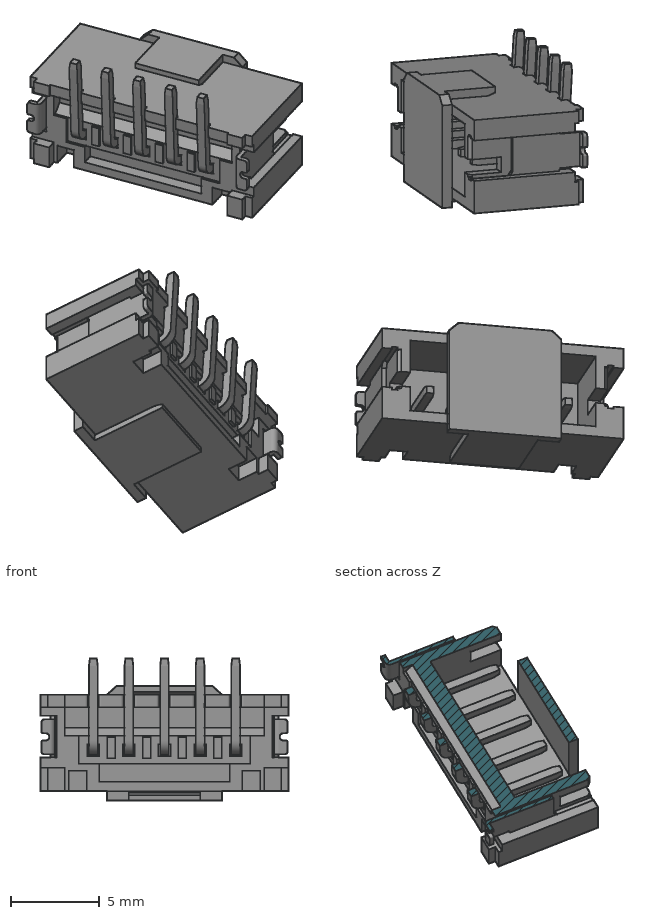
import cadquery as cq
import math


PIN_COUNT = 5
PIN_PITCH = 2.0
PIN_SIZE = 0.5
PIN_BOTTOM = 2.05
PIN_INNER_RADIUS = 0.27
PIN_LEAN = math.radians(3.0)
PIN_TIP_LENGTH = 0.4
PIN_TIP_SIZE = 0.4
PIN_TOP = 7.455
PIN_FRONT = -7.38
PIN_CONTACT_END = -1.45
PIN_XS = [(i - (PIN_COUNT - 1) / 2) * PIN_PITCH for i in range(PIN_COUNT)]

CAP_THICKNESS = 0.58
CAP_WIDTH = 6.47
CAP_RISE = 0.49
CAP_DROP = 0.535
CAP_CORNER = 0.54
CLIP_WIDTH = 4.0
TOP_CLIP_FRONT = -3.6
TOP_CLIP_BEVEL = (0.43, 0.17)
BOTTOM_CLIP_FRONT = -5.11
BOTTOM_CLIP_BEVEL = (0.49, 0.16)
BOTTOM_CLIP_GAP = 0.08

BODY_WIDTH = 13.95
BODY_HEIGHT = 5.42
BODY_BACK = -CAP_THICKNESS
FRONT_FACE = -6.6
STRIP_FRONT = -7.08
SHOULDER_FRONT = -6.82
FOOT_FRONT = -7.22
FOOT_INNER_X = 5.6
FOOT_OUTER_X = 6.56
LOWER_FOOT_HEIGHT = 1.32
TOP_STRIP_HEIGHT = 0.7
STRIP_BOTTOM = BODY_HEIGHT - TOP_STRIP_HEIGHT

WALL_THICKNESS = 0.72
CAVITY_FLOOR_THICKNESS = 0.6
CAVITY_END = -5.0

RECESS_FLOOR_X = 6.08
RECESS_BOTTOM = 1.89
RECESS_TOP = 4.23
MOUTH_CHAMFER = 0.19
SLOT_END = -2.5
SLOT_BOTTOM = 2.02
SLOT_TOP = 2.9

PANEL_WIDTH = 9.63
PANEL_DEPTH = 0.15
PANEL_BOTTOM = 1.55
WINDOW_WIDTH = 2 * FOOT_INNER_X
WINDOW_DEPTH = 0.7
WINDOW_BOTTOM = 3.12
WINDOW_SLOPE_HEIGHT = 0.45
LOWER_POCKET_WIDTH = 7.34
LOWER_POCKET_BOTTOM = 0.54
CORNER_NOTCH_INNER_X = 4.36
CORNER_NOTCH_WIDTH = 1.03
CORNER_NOTCH_HEIGHT = 1.15
CORNER_NOTCH_DEPTH = 1.2
RIB_WIDTH = 0.46
RIB_BOTTOM = 1.85
RIB_TOP = 3.04
PIN_HOLE_SIZE = 0.68
PIN_HOLE_DEPTH = 0.4
PIN_NOTCH_WIDTH = 0.6
PIN_NOTCH_BACK = -6.72
PIN_NOTCH_FILLET = 0.16
PLAIN_NOTCH_INDEX = 3
PLAIN_NOTCH_CHAMFER = 0.1

GROOVE_DEPTH = 0.12
PLATE_BOTTOM = RECESS_BOTTOM - GROOVE_DEPTH
PLATE_TOP = RECESS_TOP + GROOVE_DEPTH
PLATE_THICKNESS = 0.27
PLATE_OUTER_X = 6.41
PLATE_INNER_X = PLATE_OUTER_X - PLATE_THICKNESS
PLATE_BACK = -3.08
PLATE_BACK_CORNER = (0.23, 0.35)
PLATE_NARROW_Y = -5.92
PLATE_NARROW_CHAMFER = 0.17
PLATE_STEP_Y = PLATE_NARROW_Y + PLATE_NARROW_CHAMFER
PLATE_FRONT = -7.35
TAB_BOTTOM = 2.06
TAB_TOP = 4.04
TAB_MIDDLE = (TAB_BOTTOM + TAB_TOP) / 2
TAB_END_X = 6.92
TAB_BEND_RADIUS = 0.3
TAB_CORNER_RADIUS = 0.18
TAB_NOTCH_WIDTH = 0.4
TAB_NOTCH_END_X = 6.48
TAB_NOTCH_ROUND = 0.1


def box(x_range, y_range, z_range):
    """Axis-aligned box between the given limits."""
    (x0, x1), (y0, y1), (z0, z1) = x_range, y_range, z_range
    return cq.Workplane("XY").box(x1 - x0, y1 - y0, z1 - z0, centered=False).translate((x0, y0, z0))


def centred_box(width, y_range, z_range, x=0.0):
    """Box of the given width centred at x."""
    return box((x - width / 2, x + width / 2), y_range, z_range)


def yz_prism(points, width):
    """Extrude a closed (y, z) outline symmetrically along X."""
    return cq.Workplane("YZ").polyline(points).close().extrude(width / 2, both=True)


def both_sides(half):
    """Join a feature with its mirror image in the YZ plane."""
    return half.union(half.mirror("YZ"))


def housing_block():
    """Main block with the front strip, the shoulders and the four corner feet."""
    body = centred_box(BODY_WIDTH, (FRONT_FACE, BODY_BACK), (0, BODY_HEIGHT))
    top_levels = (STRIP_BOTTOM, BODY_HEIGHT)
    body = body.union(centred_box(2 * FOOT_INNER_X, (STRIP_FRONT, FRONT_FACE), top_levels))
    for levels in (top_levels, (0, LOWER_FOOT_HEIGHT)):
        foot = box((FOOT_INNER_X, FOOT_OUTER_X), (FOOT_FRONT, FRONT_FACE), levels)
        shoulder = box((FOOT_INNER_X, BODY_WIDTH / 2), (SHOULDER_FRONT, FRONT_FACE), levels)
        body = body.union(both_sides(foot.union(shoulder)))
    return body


def cut_side_recesses(body):
    """Side recesses with their plate grooves and the slots into the plug cavity."""
    half_width = BODY_WIDTH / 2
    floor_corner_x = RECESS_FLOOR_X - MOUTH_CHAMFER
    recess = (
        cq.Workplane("XY", origin=(0, 0, RECESS_BOTTOM))
        .moveTo(half_width, BODY_BACK)
        .lineTo(floor_corner_x, BODY_BACK)
        .lineTo(RECESS_FLOOR_X, BODY_BACK - MOUTH_CHAMFER)
        .lineTo(RECESS_FLOOR_X, FRONT_FACE)
        .lineTo(half_width, FRONT_FACE)
        .close()
        .extrude(RECESS_TOP - RECESS_BOTTOM)
    )
    slot = box((0, half_width), (SLOT_END, BODY_BACK), (SLOT_BOTTOM, SLOT_TOP))
    groove = box((RECESS_FLOOR_X, PLATE_OUTER_X), (PLATE_STEP_Y, BODY_BACK), (PLATE_BOTTOM, PLATE_TOP))
    return body.cut(both_sides(recess.union(groove))).cut(both_sides(slot))


def cut_plug_cavity(body):
    """Rectangular plug space behind the cap."""
    cavity_width = 2 * (RECESS_FLOOR_X - WALL_THICKNESS)
    levels = (CAVITY_FLOOR_THICKNESS, BODY_HEIGHT - CAVITY_FLOOR_THICKNESS)
    return body.cut(centred_box(cavity_width, (CAVITY_END, BODY_BACK), levels))


def cut_front_pockets(body):
    """Shallow ribbed panel, sloped window, lower pocket and corner notches."""
    panel_back = FRONT_FACE + PANEL_DEPTH
    pocket_back = FRONT_FACE + WINDOW_DEPTH
    panel = centred_box(PANEL_WIDTH, (FRONT_FACE, panel_back), (PANEL_BOTTOM, WINDOW_BOTTOM))
    for left, right in zip(PIN_XS, PIN_XS[1:]):
        rib_x = (left + right) / 2
        panel = panel.cut(centred_box(RIB_WIDTH, (FRONT_FACE, panel_back), (RIB_BOTTOM, RIB_TOP), rib_x))
    window = yz_prism(
        [
            (FRONT_FACE, WINDOW_BOTTOM),
            (panel_back, WINDOW_BOTTOM),
            (pocket_back, WINDOW_BOTTOM + WINDOW_SLOPE_HEIGHT),
            (pocket_back, STRIP_BOTTOM),
            (FRONT_FACE, STRIP_BOTTOM),
        ],
        WINDOW_WIDTH,
    )
    lower_pocket = centred_box(
        LOWER_POCKET_WIDTH, (FRONT_FACE, pocket_back), (LOWER_POCKET_BOTTOM, PANEL_BOTTOM)
    )
    corner_notch = box(
        (CORNER_NOTCH_INNER_X, CORNER_NOTCH_INNER_X + CORNER_NOTCH_WIDTH),
        (FRONT_FACE, FRONT_FACE + CORNER_NOTCH_DEPTH),
        (0, CORNER_NOTCH_HEIGHT),
    )
    return body.cut(panel).cut(window).cut(lower_pocket).cut(both_sides(corner_notch))


def pin_notch(plain_side):
    """Notch in the top strip; a plain side has a chamfered back corner and a sharp mouth."""
    half_notch = PIN_NOTCH_WIDTH / 2
    mouth = half_notch + PIN_NOTCH_FILLET
    fillet_start = STRIP_FRONT + PIN_NOTCH_FILLET
    outline = cq.Workplane("XY", origin=(0, 0, STRIP_BOTTOM)).moveTo(-half_notch, PIN_NOTCH_BACK)
    if plain_side:
        outline = (
            outline.lineTo(half_notch - PLAIN_NOTCH_CHAMFER, PIN_NOTCH_BACK)
            .lineTo(half_notch, PIN_NOTCH_BACK - PLAIN_NOTCH_CHAMFER)
            .lineTo(half_notch, STRIP_FRONT)
        )
    else:
        outline = (
            outline.lineTo(half_notch, PIN_NOTCH_BACK)
            .lineTo(half_notch, fillet_start)
            .radiusArc((mouth, STRIP_FRONT), -PIN_NOTCH_FILLET)
        )
    return (
        outline.lineTo(-mouth, STRIP_FRONT)
        .radiusArc((-half_notch, fillet_start), -PIN_NOTCH_FILLET)
        .close()
        .extrude(TOP_STRIP_HEIGHT)
    )


def cut_pin_clearances(body):
    """Notches in the top strip and square holes around the pin bends."""
    hole_middle = PIN_BOTTOM + PIN_SIZE / 2
    hole_levels = (hole_middle - PIN_HOLE_SIZE / 2, hole_middle + PIN_HOLE_SIZE / 2)
    hole_back = FRONT_FACE + PANEL_DEPTH + PIN_HOLE_DEPTH
    hole = centred_box(PIN_HOLE_SIZE, (FRONT_FACE, hole_back), hole_levels)
    for index, x in enumerate(PIN_XS):
        notch = pin_notch(index == PLAIN_NOTCH_INDEX)
        body = body.cut(notch.translate((x, 0, 0))).cut(hole.translate((x, 0, 0)))
    return body


def tapered_tip(centre, direction):
    """Four-sided taper growing from a pin end at centre along direction."""
    plane = cq.Plane(origin=centre, xDir=(1, 0, 0), normal=direction)
    return (
        cq.Workplane(plane)
        .rect(PIN_SIZE, PIN_SIZE)
        .workplane(offset=PIN_TIP_LENGTH)
        .rect(PIN_TIP_SIZE, PIN_TIP_SIZE)
        .loft()
    )


def pin():
    """Square pin: contact along Y, bend, and a slightly leaning solder leg."""
    lean_sin = math.sin(PIN_LEAN)
    lean_cos = math.cos(PIN_LEAN)
    outer_radius = PIN_INNER_RADIUS + PIN_SIZE
    middle_radius = PIN_INNER_RADIUS + PIN_SIZE / 2
    bend_z = PIN_BOTTOM + outer_radius
    tip_base_z = PIN_TOP - PIN_TIP_LENGTH * lean_cos
    leg_length = (tip_base_z - bend_z + middle_radius * lean_sin) / lean_cos
    bend_y = PIN_FRONT + outer_radius * lean_cos + leg_length * lean_sin
    contact_shoulder = PIN_CONTACT_END - PIN_TIP_LENGTH

    def leg_point(radius, distance):
        y = bend_y - radius * lean_cos - distance * lean_sin
        z = bend_z - radius * lean_sin + distance * lean_cos
        return (y, z)

    def bend_middle(radius):
        angle = (math.pi / 2 - PIN_LEAN) / 2
        return (bend_y - radius * math.sin(angle), bend_z - radius * math.cos(angle))

    shaft = (
        cq.Workplane("YZ")
        .moveTo(contact_shoulder, PIN_BOTTOM)
        .lineTo(bend_y, PIN_BOTTOM)
        .threePointArc(bend_middle(outer_radius), leg_point(outer_radius, 0))
        .lineTo(*leg_point(outer_radius, leg_length))
        .lineTo(*leg_point(PIN_INNER_RADIUS, leg_length))
        .lineTo(*leg_point(PIN_INNER_RADIUS, 0))
        .threePointArc(bend_middle(PIN_INNER_RADIUS), (bend_y, PIN_BOTTOM + PIN_SIZE))
        .lineTo(contact_shoulder, PIN_BOTTOM + PIN_SIZE)
        .close()
        .extrude(PIN_SIZE / 2, both=True)
    )
    leg_tip = tapered_tip((0, *leg_point(middle_radius, leg_length)), (0, -lean_sin, lean_cos))
    contact_tip = tapered_tip((0, contact_shoulder, PIN_BOTTOM + PIN_SIZE / 2), (0, 1, 0))
    return shaft.union(leg_tip).union(contact_tip)


def hold_down_plate():
    """Plate in the +X recess, bent outwards in front into a notched solder tab."""
    corner_y, corner_z = PLATE_BACK_CORNER
    narrow_front = PLATE_FRONT + PLATE_THICKNESS
    side = (
        cq.Workplane("YZ", origin=(PLATE_INNER_X, 0, 0))
        .polyline(
            [
                (PLATE_BACK + corner_y, PLATE_BOTTOM),
                (PLATE_BACK, PLATE_BOTTOM + corner_z),
                (PLATE_BACK, PLATE_TOP - corner_z),
                (PLATE_BACK + corner_y, PLATE_TOP),
                (PLATE_STEP_Y, PLATE_TOP),
                (PLATE_NARROW_Y, TAB_TOP),
                (narrow_front, TAB_TOP),
                (narrow_front, TAB_BOTTOM),
                (PLATE_NARROW_Y, TAB_BOTTOM),
                (PLATE_STEP_Y, PLATE_BOTTOM),
            ]
        )
        .close()
        .extrude(PLATE_THICKNESS)
    )
    notch_radius = TAB_NOTCH_WIDTH / 2
    notch_bottom = TAB_MIDDLE - notch_radius
    notch_top = TAB_MIDDLE + notch_radius
    notch_arc_x = TAB_NOTCH_END_X + notch_radius
    tab = (
        cq.Workplane("XZ", origin=(0, narrow_front, 0))
        .moveTo(PLATE_INNER_X, TAB_BOTTOM)
        .lineTo(TAB_END_X, TAB_BOTTOM)
        .lineTo(TAB_END_X, notch_bottom)
        .lineTo(notch_arc_x, notch_bottom)
        .threePointArc((TAB_NOTCH_END_X, TAB_MIDDLE), (notch_arc_x, notch_top))
        .lineTo(TAB_END_X, notch_top)
        .lineTo(TAB_END_X, TAB_TOP)
        .lineTo(PLATE_INNER_X, TAB_TOP)
        .close()
        .extrude(PLATE_THICKNESS)
    )
    tab = tab.edges("|Y and >X").edges(">Z or <Z").fillet(TAB_CORNER_RADIUS)
    notch_mouth = cq.selectors.BoxSelector(
        (TAB_END_X - TAB_NOTCH_ROUND, PLATE_FRONT, notch_bottom - TAB_NOTCH_ROUND),
        (TAB_END_X + TAB_NOTCH_ROUND, narrow_front, notch_top + TAB_NOTCH_ROUND),
    )
    tab = tab.edges("|Y").edges(notch_mouth).fillet(TAB_NOTCH_ROUND)
    return side.union(tab).edges("|Z and <X and <Y").fillet(TAB_BEND_RADIUS)


def cap():
    """Flat cover over the cavity mouth with one clip arm above and one below."""
    half_width = CAP_WIDTH / 2
    cap_top = BODY_HEIGHT + CAP_RISE
    plate = (
        cq.Workplane("XZ")
        .polyline(
            [
                (-half_width, -CAP_DROP),
                (half_width, -CAP_DROP),
                (half_width, BODY_HEIGHT),
                (half_width - CAP_CORNER, cap_top),
                (CAP_CORNER - half_width, cap_top),
                (-half_width, BODY_HEIGHT),
            ]
        )
        .close()
        .extrude(CAP_THICKNESS)
    )
    bevel_y, bevel_z = TOP_CLIP_BEVEL
    top_clip = yz_prism(
        [
            (BODY_BACK, BODY_HEIGHT),
            (BODY_BACK, cap_top),
            (TOP_CLIP_FRONT, cap_top),
            (TOP_CLIP_FRONT, BODY_HEIGHT + bevel_z),
            (TOP_CLIP_FRONT + bevel_y, BODY_HEIGHT),
        ],
        CLIP_WIDTH,
    )
    bevel_y, bevel_z = BOTTOM_CLIP_BEVEL
    bottom_clip = yz_prism(
        [
            (BODY_BACK, -CAP_DROP),
            (BODY_BACK, -BOTTOM_CLIP_GAP),
            (BOTTOM_CLIP_FRONT + bevel_y, -BOTTOM_CLIP_GAP),
            (BOTTOM_CLIP_FRONT, -BOTTOM_CLIP_GAP - bevel_z),
            (BOTTOM_CLIP_FRONT, -CAP_DROP),
        ],
        CLIP_WIDTH,
    )
    return plate.union(top_clip).union(bottom_clip)


part = housing_block()
part = cut_side_recesses(part)
part = cut_plug_cavity(part)
part = cut_front_pockets(part)
part = cut_pin_clearances(part)
for pin_x in PIN_XS:
    part = part.union(pin().translate((pin_x, 0, 0)))
part = part.union(both_sides(hold_down_plate()))
part = part.union(cap())
result = part